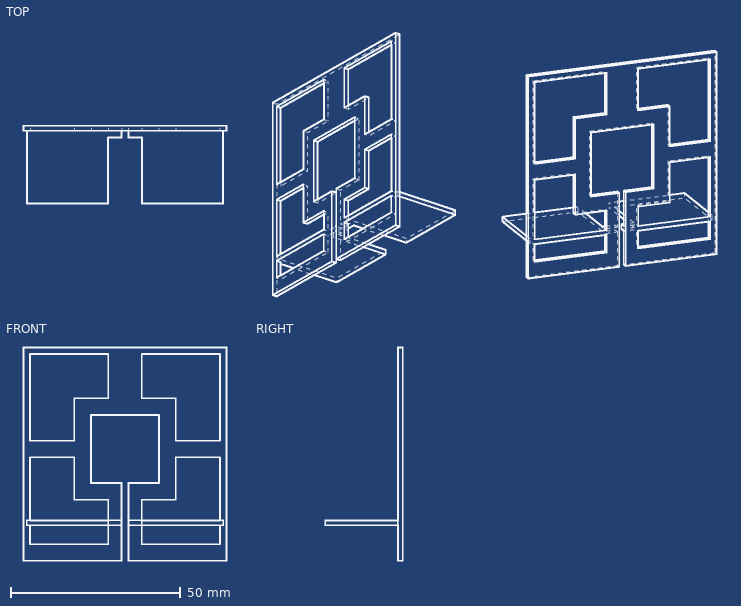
import cadquery as cq

width = 60.0
height = 63.0
thickness = 1.5
front_y = -thickness
rim = 2.0
bar = 5.0

opening = 20.0
ring_outer = 30.0
ring_center_z = 33.0
stem_width = 2 * bar
slot_width = 2.0

depth = 23.0
shelf_inner_x = stem_width / 2
shelf_outer_x = 29.0
shelf_bottom_z = 10.45
shelf_thickness = 1.5
tab_reach = 2.0


def box(x_min, x_max, y_min, y_max, z_min, z_max):
    """Axis-aligned box between the given limits."""
    size = (x_max - x_min, y_max - y_min, z_max - z_min)
    return cq.Workplane("XY").box(*size, centered=False).translate((x_min, y_min, z_min))


def panel_block(block_width, z_min, z_max):
    """Block of full panel thickness, centered across the width."""
    return box(-block_width / 2, block_width / 2, front_y, 0, z_min, z_max)


def square_block(side):
    """Square block centered on the ring."""
    return panel_block(side, ring_center_z - side / 2, ring_center_z + side / 2)


def make_panel():
    inner_width = width - 2 * rim
    frame = panel_block(width, 0, height).cut(panel_block(inner_width, bar, height - rim))
    stem = panel_block(stem_width, 0, height)
    cross_bar = panel_block(width, ring_center_z - bar / 2, ring_center_z + bar / 2)
    lattice = frame.union(stem).union(cross_bar).union(square_block(ring_outer))
    slot = panel_block(slot_width, 0, ring_center_z)
    return lattice.cut(square_block(opening)).cut(slot)


def make_right_shelf():
    shelf_top_z = shelf_bottom_z + shelf_thickness
    plate = box(shelf_inner_x, shelf_outer_x, -depth, 0,
                shelf_bottom_z, shelf_top_z)
    tab = box(slot_width / 2, shelf_inner_x, front_y - tab_reach, 0,
              shelf_bottom_z, shelf_top_z)
    return plate.union(tab)


right_shelf = make_right_shelf()
left_shelf = right_shelf.mirror("YZ")
result = make_panel().union(right_shelf).union(left_shelf)